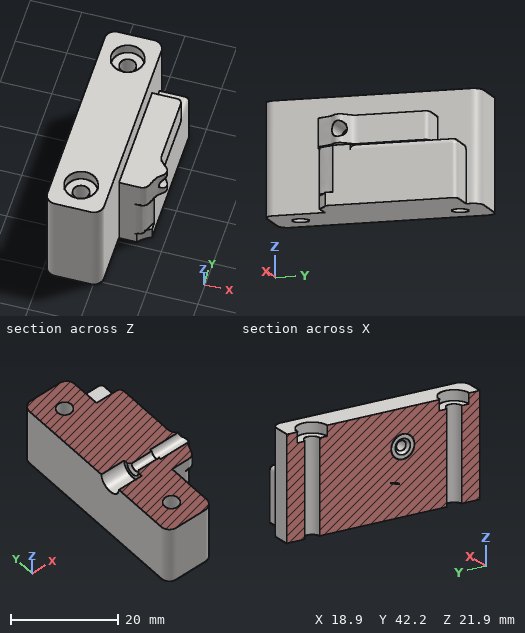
import cadquery as cq
import math

BLOCK_WIDTH = 11.04
BLOCK_LENGTH = 42.2
BLOCK_HEIGHT = 21.94
BLOCK_CORNER_RADIUS = 2.0

SCREW_SPACING = 31.0
SCREW_DIAMETER = 3.2
SCREW_HEAD_DIAMETER = 6.35
SCREW_HEAD_DEPTH = 2.2

ARM_FACE_X = 16.9
ARM_START_Y = 11.9
BASE_END_Y = 39.36
HOOK_END_Y = 33.9
FOOT_TOP_Z = 2.54
HOOK_BOTTOM_Z = 11.42
HOOK_TOP_Z = 16.87
ARM_EDGE_RADIUS = 1.0

TIP_X = 18.88
TIP_Y = 16.88
TIP_RADIUS = 1.2
BLEND_RADIUS = 2.0
ARM_CORNER_RADIUS = 1.9
CLEARANCE_SHIFT = 0.78

FOOT_FLANK_START_X = 14.5
FOOT_FLANK_END_Y = 13.8
FOOT_FLANK_RADIUS = 7.0

BORE_Y = 16.82
BORE_Z = (HOOK_BOTTOM_Z + HOOK_TOP_Z) / 2
BORE_ENTRY_DIAMETER = 5.0
BORE_ENTRY_DEPTH = BLOCK_WIDTH / 2
BORE_SEAT_DIAMETER = 3.26
BORE_THROAT_DIAMETER = 2.08
BORE_EXIT_DIAMETER = 3.0
BORE_EXIT_START_X = BLOCK_WIDTH

DIAGONAL = math.sqrt(0.5)
TIP_CENTRE_X = TIP_X - TIP_RADIUS
BLEND_CENTRE_X = ARM_FACE_X + BLEND_RADIUS
BLEND_OFFSET_Y = (TIP_RADIUS + BLEND_RADIUS) / DIAGONAL - (BLEND_CENTRE_X - TIP_CENTRE_X)
LOWER_BLEND_Y = TIP_Y - BLEND_OFFSET_Y
UPPER_BLEND_Y = TIP_Y + BLEND_OFFSET_Y
CORNER_CENTRE_Y = ARM_START_Y + ARM_CORNER_RADIUS
CORNER_CENTRE_X = BLEND_CENTRE_X - math.sqrt(
    (ARM_CORNER_RADIUS + BLEND_RADIUS) ** 2 - (CORNER_CENTRE_Y - LOWER_BLEND_Y) ** 2
)


def make_block():
    return (
        cq.Workplane("XY")
        .box(BLOCK_WIDTH, BLOCK_LENGTH, BLOCK_HEIGHT, centered=False)
        .edges("|Z")
        .fillet(BLOCK_CORNER_RADIUS)
    )


def nosed_plate(bottom, top, end_y):
    """Arm plate with the pointed nose, from the block to the tip."""
    diagonal_tip = TIP_RADIUS * DIAGONAL
    diagonal_blend = BLEND_RADIUS * DIAGONAL
    flank_x = BLEND_CENTRE_X - diagonal_blend
    diagonal_corner = ARM_CORNER_RADIUS * DIAGONAL
    blend_share = ARM_CORNER_RADIUS / (ARM_CORNER_RADIUS + BLEND_RADIUS)
    lower_flank = [
        (CORNER_CENTRE_X, ARM_START_Y),
        (CORNER_CENTRE_X + diagonal_corner, CORNER_CENTRE_Y - diagonal_corner),
        (
            CORNER_CENTRE_X + blend_share * (BLEND_CENTRE_X - CORNER_CENTRE_X),
            CORNER_CENTRE_Y + blend_share * (LOWER_BLEND_Y - CORNER_CENTRE_Y),
        ),
        (flank_x, LOWER_BLEND_Y + diagonal_blend),
        (TIP_CENTRE_X + diagonal_tip, TIP_Y - diagonal_tip),
    ]
    return (
        cq.Workplane("XY", origin=(0, 0, bottom))
        .moveTo(BLOCK_WIDTH / 2, ARM_START_Y)
        .lineTo(*lower_flank[0])
        .spline(lower_flank[1:], tangents=[(1, 0), (1, 1)], includeCurrent=True)
        .threePointArc((TIP_X, TIP_Y), (TIP_CENTRE_X + diagonal_tip, TIP_Y + diagonal_tip))
        .lineTo(flank_x, UPPER_BLEND_Y - diagonal_blend)
        .radiusArc((ARM_FACE_X, UPPER_BLEND_Y), BLEND_RADIUS)
        .lineTo(ARM_FACE_X, end_y)
        .lineTo(BLOCK_WIDTH / 2, end_y)
        .close()
        .extrude(top - bottom)
    )


def make_hook():
    plate = nosed_plate(HOOK_BOTTOM_Z, HOOK_TOP_Z, HOOK_END_Y)
    far_corner = cq.selectors.NearestToPointSelector((ARM_FACE_X, HOOK_END_Y, BORE_Z))
    return plate.edges("|Z").edges(far_corner).fillet(ARM_EDGE_RADIUS)


def make_clearance_section():
    """Set-back nose between foot and hook, cut off at the arm face."""
    nose = nosed_plate(FOOT_TOP_Z, HOOK_BOTTOM_Z, HOOK_END_Y).translate((-CLEARANCE_SHIFT, 0, 0))
    limit = cq.Workplane("XY").box(ARM_FACE_X, BLOCK_LENGTH, BLOCK_HEIGHT, centered=False)
    return nose.intersect(limit)


def make_foot():
    corner_x = CORNER_CENTRE_X - CLEARANCE_SHIFT
    flank_start_y = CORNER_CENTRE_Y - math.sqrt(
        ARM_CORNER_RADIUS ** 2 - (FOOT_FLANK_START_X - corner_x) ** 2
    )
    return (
        cq.Workplane("XY")
        .moveTo(BLOCK_WIDTH / 2, ARM_START_Y)
        .lineTo(corner_x, ARM_START_Y)
        .radiusArc((FOOT_FLANK_START_X, flank_start_y), -ARM_CORNER_RADIUS)
        .radiusArc((ARM_FACE_X, FOOT_FLANK_END_Y), FOOT_FLANK_RADIUS)
        .lineTo(ARM_FACE_X, TIP_Y)
        .lineTo(BLOCK_WIDTH / 2, TIP_Y)
        .close()
        .extrude(FOOT_TOP_Z)
    )


def make_arm_base():
    """Straight part of the arm below the hook, rounded at its far end."""
    base = (
        cq.Workplane("XY", origin=(0, TIP_Y, 0))
        .box(ARM_FACE_X, BASE_END_Y - TIP_Y, HOOK_BOTTOM_Z, centered=False)
    )
    far_corner = cq.selectors.NearestToPointSelector((ARM_FACE_X, BASE_END_Y, HOOK_BOTTOM_Z / 2))
    base = base.edges("|Z").edges(far_corner).fillet(ARM_EDGE_RADIUS)
    top_rim = cq.selectors.BoxSelector(
        (BLOCK_WIDTH / 2, TIP_Y + ARM_EDGE_RADIUS, HOOK_BOTTOM_Z - ARM_EDGE_RADIUS / 2),
        (ARM_FACE_X + ARM_EDGE_RADIUS, BASE_END_Y + ARM_EDGE_RADIUS, HOOK_BOTTOM_Z + ARM_EDGE_RADIUS),
    )
    return base.faces(">Z").edges(top_rim).fillet(ARM_EDGE_RADIUS)


def cut_screw_holes(body):
    return (
        body.faces(">Z")
        .workplane(origin=(BLOCK_WIDTH / 2, BLOCK_LENGTH / 2, BLOCK_HEIGHT))
        .pushPoints([(0, -SCREW_SPACING / 2), (0, SCREW_SPACING / 2)])
        .cboreHole(SCREW_DIAMETER, SCREW_HEAD_DIAMETER, SCREW_HEAD_DEPTH)
    )


def make_bore():
    """Revolved cutter: entry bore, 45 degree seat, throat and exit bore."""
    entry_radius = BORE_ENTRY_DIAMETER / 2
    seat_radius = BORE_SEAT_DIAMETER / 2
    throat_radius = BORE_THROAT_DIAMETER / 2
    exit_radius = BORE_EXIT_DIAMETER / 2
    seat_end_x = BORE_ENTRY_DEPTH + seat_radius - throat_radius
    return (
        cq.Workplane("XY", origin=(0, BORE_Y, BORE_Z))
        .polyline([
            (0, 0),
            (0, entry_radius),
            (BORE_ENTRY_DEPTH, entry_radius),
            (BORE_ENTRY_DEPTH, seat_radius),
            (seat_end_x, throat_radius),
            (BORE_EXIT_START_X, throat_radius),
            (BORE_EXIT_START_X, exit_radius),
            (TIP_X, exit_radius),
            (TIP_X, 0),
        ])
        .close()
        .revolve(360, (0, 0, 0), (1, 0, 0))
    )


body = make_block()
for section in (make_foot(), make_clearance_section(), make_arm_base(), make_hook()):
    body = body.union(section)
result = cut_screw_holes(body).cut(make_bore())